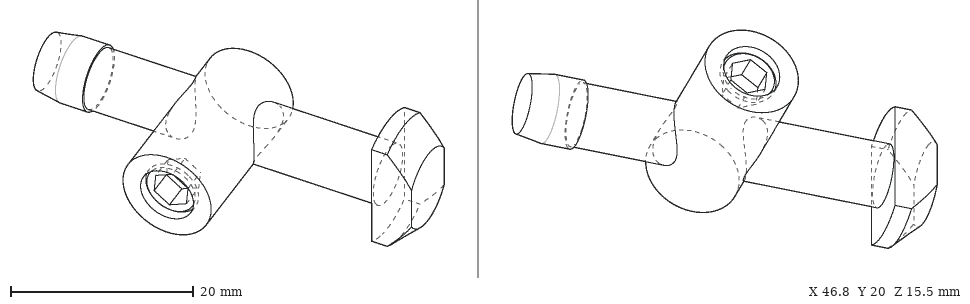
import cadquery as cq
import math

total_length = 46.8
shaft_diameter = 7.15

collar_diameter = 7.75
collar_tip_diameter = 6.8
collar_taper_length = 3.0
collar_length = 6.3

head_diameter = 15.5
head_end_diameter = 9.55
head_width = 7.95
head_start = 41.9
head_rim_length = 1.9

barrel_diameter = 10.85
barrel_length = 20.0
barrel_center_x = 21.8
shaft_to_barrel_back = 6.0
barrel_front_y = shaft_to_barrel_back - barrel_length

bore_diameter = 6.5
bore_depth = 1.0
screw_face_diameter = 5.95
screw_chamfer = (bore_diameter - screw_face_diameter) / 2
socket_across_flats = 4.0
socket_depth = 4.0
socket_rotation = 5.0


def make_shaft():
    """Round shaft and tapered collar, revolved about X."""
    shaft_radius = shaft_diameter / 2
    collar_radius = collar_diameter / 2
    return (
        cq.Workplane("XY")
        .moveTo(0, 0)
        .lineTo(0, collar_tip_diameter / 2)
        .lineTo(collar_taper_length, collar_radius)
        .lineTo(collar_length, collar_radius)
        .lineTo(collar_length, shaft_radius)
        .lineTo(head_start, shaft_radius)
        .lineTo(head_start, 0)
        .close()
        .revolve(360, (0, 0, 0), (1, 0, 0))
    )


def make_head():
    """Disc with a conical back, trimmed by two flats to a narrow hammer shape."""
    head_radius = head_diameter / 2
    disc = (
        cq.Workplane("XY")
        .moveTo(head_start, 0)
        .lineTo(head_start, head_radius)
        .lineTo(head_start + head_rim_length, head_radius)
        .lineTo(total_length, head_end_diameter / 2)
        .lineTo(total_length, 0)
        .close()
        .revolve(360, (0, 0, 0), (1, 0, 0))
    )
    flats = cq.Workplane("XY").box(2 * total_length, head_width, head_diameter)
    return disc.intersect(flats)


def cylinder_from_front(diameter, start_depth, length):
    """Cylinder on the barrel axis, starting at a depth behind the barrel's front end."""
    return (
        cq.Workplane("XZ", origin=(barrel_center_x, barrel_front_y + start_depth, 0))
        .circle(diameter / 2)
        .extrude(-length)
    )


def make_screw_recess():
    """Shallow bore around a chamfered screw face with a hexagon socket."""
    bore = cylinder_from_front(bore_diameter, 0, bore_depth + screw_chamfer)
    screw_end = (
        cq.Workplane("XZ", origin=(barrel_center_x, barrel_front_y + bore_depth, 0))
        .circle(screw_face_diameter / 2)
        .workplane(offset=-screw_chamfer)
        .circle(bore_diameter / 2)
        .loft()
    )
    return bore.cut(screw_end)


def make_socket():
    """Blind hexagon socket with its points near the vertical."""
    across_corners = socket_across_flats / math.cos(math.radians(30))
    return (
        cq.Workplane("XZ", origin=(barrel_center_x, barrel_front_y, 0))
        .transformed(rotate=(0, 0, 90 - socket_rotation))
        .polygon(6, across_corners)
        .extrude(-socket_depth)
    )


barrel = cylinder_from_front(barrel_diameter, 0, barrel_length)
result = make_shaft().union(make_head()).union(barrel)
result = result.cut(make_screw_recess()).cut(make_socket())